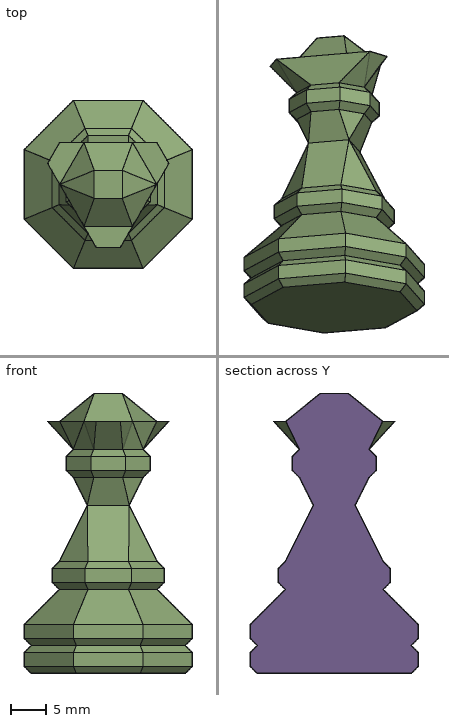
import cadquery as cq
import math

height = 40.0
base_width = 24.0

bevel = 1.0
collar_side = 2.0
collar_height = collar_side + 2 * bevel

base_reach = base_width / 2
waist_collar_reach = 8.0
neck_reach = 3.0
head_collar_reach = 6.0
hexagon_reach = 6.0
brim_reach = 9.0
crown_top_reach = 2.0

base_shoulder_z = 7.0
waist_collar_z = 12.0
neck_z = 24.0
head_collar_z = 28.0
brim_z = 36.0

brim_directions = (30, 150, 270)


def ring(sides, reach, z, first_angle):
    """Corners of a regular polygon, counterclockwise, with its flat sides `reach` from the axis."""
    radius = reach / math.cos(math.pi / sides)
    corners = []
    for i in range(sides):
        angle = math.radians(first_angle) + 2 * math.pi * i / sides
        corners.append(cq.Vector(radius * math.cos(angle), radius * math.sin(angle), z))
    return corners


def octagon(reach, z):
    return ring(8, reach, z, 22.5)


def square(reach, z):
    return ring(4, reach, z, 45)


def brim_edge(direction):
    """Two outer corners of a brim flap, whose sides extend the neighbouring hexagon sides."""
    half_width = (2 * hexagon_reach - brim_reach) * math.tan(math.radians(30))
    edge = [cq.Vector(brim_reach, side * half_width, brim_z) for side in (-1, 1)]
    turn = cq.Plane.XY().rotated((0, 0, direction))
    return [turn.toWorldCoords(corner) for corner in edge]


def flat_face(corners):
    return cq.Face.makeFromWires(cq.Wire.makePolygon(corners, close=True))


def band(lower, upper, steps):
    """Flat faces joining two rings. Each step moves on by one corner: L lower, U upper, B both."""
    faces = []
    low = 0
    up = 0
    for step in steps:
        next_low = low + (step in "LB")
        next_up = up + (step in "UB")
        corners = [lower[low % len(lower)]]
        if next_low > low:
            corners.append(lower[next_low % len(lower)])
        if next_up > up:
            corners.append(upper[next_up % len(upper)])
        corners.append(upper[up % len(upper)])
        faces.append(flat_face(corners))
        low = next_low
        up = next_up
    return faces


def collar_rings(reach, z):
    """Octagons of a collar with both ends bevelled inward."""
    return [
        octagon(reach - bevel, z),
        octagon(reach, z + bevel),
        octagon(reach, z + bevel + collar_side),
        octagon(reach - bevel, z + collar_height),
    ]


def stacked_bands(rings):
    faces = []
    for lower, upper in zip(rings, rings[1:]):
        faces += band(lower, upper, "B" * 8)
    return faces


waist_rings = collar_rings(waist_collar_reach, waist_collar_z)
base_rings = collar_rings(base_reach, 0) + [
    octagon(base_reach, collar_height + bevel),
    octagon(base_reach, base_shoulder_z),
]
lower_rings = base_rings + waist_rings
head_rings = collar_rings(head_collar_reach, head_collar_z)

neck = square(neck_reach, neck_z)
column_faces = band(waist_rings[-1], neck, "LB" * 4)
column_faces += band(neck, head_rings[0], "UB" * 4)

hexagon = ring(6, hexagon_reach, brim_z, 0)
brim_outline = []
brim_faces = []
for i, direction in enumerate(brim_directions):
    inner_start = hexagon[2 * i]
    inner_end = hexagon[2 * i + 1]
    flap = [inner_start] + brim_edge(direction) + [inner_end]
    brim_outline += flap
    brim_faces.append(flat_face(flap))

underside_steps = "UULUB" + "ULUUL" + "ULUBULUL"
brim_faces += band(head_rings[-1], brim_outline, underside_steps)

crown_top = square(crown_top_reach, height)
crown_faces = band(hexagon, crown_top, "LBLU" * 2)

end_faces = [flat_face(lower_rings[0]), flat_face(crown_top)]

all_faces = stacked_bands(lower_rings) + column_faces + stacked_bands(head_rings)
all_faces += brim_faces + crown_faces + end_faces
body = cq.Solid.makeSolid(cq.Shell.makeShell(all_faces))
result = cq.Workplane("XY").newObject([body]).clean()